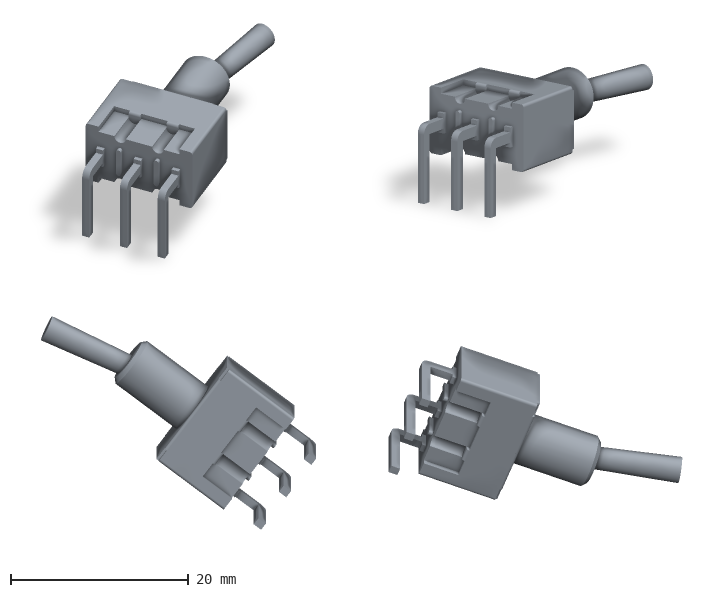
import cadquery as cq
import math

overall_length = 32.52

housing_width = 13.2
housing_depth = 9.5
housing_height = 7.95
edge_radius = 0.33
ear_width = 1.6
ear_notch_height = 0.55
ear_notch_depth = 0.3
middle_width = housing_width - 2 * ear_width

pocket_length = 4.2
pocket_depth = 0.7
groove_radius = 0.7

terminal_pitch = 4.68
terminal_width = 0.88
terminal_thickness = 1.2
terminal_reach = 4.2
terminal_bottom = -8.6
leg_thickness = 1.05
collar_height = 2.37
stand_off = 0.5

terminal_places = [-terminal_pitch, 0, terminal_pitch]
between_places = [-terminal_pitch / 2, terminal_pitch / 2]
rib_width = 0.6
rib_height = 3.6

bushing_diameter = 5.98
bushing_length = 9.0
bushing_chamfer = 0.5

lever_tilt = 12.0
lever_pivot_y = 15.5
lever_tip_radius = 1.5
lever_root_radius = 1.25
tilt = math.radians(lever_tilt)
lever_top_y = overall_length - terminal_reach
lever_length = (lever_top_y - lever_pivot_y - lever_tip_radius * math.sin(tilt)) / math.cos(tilt)


def block(width, y_start, y_end, z_bottom, z_top, x=0.0):
    """Box centred on x that spans the given ranges of y and z."""
    depth = y_end - y_start
    height = z_top - z_bottom
    return cq.Workplane("XY").box(width, depth, height).translate(
        (x, (y_start + y_end) / 2, (z_bottom + z_top) / 2)
    )


def make_housing_block():
    """Rounded block whose four back corners are notched beside the rounded middle section."""
    half_height = housing_height / 2
    notch_y = housing_depth - ear_notch_depth
    front = block(housing_width, 0, notch_y, -half_height, half_height).edges("|Y").fillet(edge_radius)
    ears = block(
        housing_width, 0, housing_depth, -half_height + ear_notch_height, half_height - ear_notch_height
    )
    middle = block(middle_width, 0, housing_depth, -half_height, half_height)
    middle = middle.edges(">Y and |X").fillet(edge_radius)
    return front.union(ears).union(middle)


def make_top_recess():
    """Pocket in the top face with two deeper round grooves that end at rounded lips."""
    half_height = housing_height / 2
    floor_z = half_height - pocket_depth
    lip_front_y = pocket_length - edge_radius
    recess = block(middle_width, 0, pocket_length, floor_z, half_height)
    for x in between_places:
        lip = block(2 * groove_radius, lip_front_y, housing_depth, floor_z, half_height, x)
        lip = lip.edges("<Y and >Z").fillet(edge_radius)
        groove = cq.Workplane("XZ").center(x, floor_z).circle(groove_radius).extrude(-lip_front_y)
        recess = recess.cut(lip).union(groove)
    return recess


def make_rib(x):
    """Upright rib with round ends on the front face."""
    return cq.Workplane("XZ").center(x, 0).slot2D(rib_height, rib_width, 90).extrude(stand_off)


def make_housing():
    top_recess = make_top_recess()
    housing = make_housing_block().cut(top_recess).cut(top_recess.mirror("XY"))
    for x in between_places:
        housing = housing.union(make_rib(x))
    return housing


def make_lever():
    """Round lever that widens toward its tip."""
    lever = (
        cq.Workplane("XY")
        .polyline([(0, 0), (lever_root_radius, 0), (lever_tip_radius, lever_length), (0, lever_length)])
        .close()
        .revolve(360, (0, 0), (0, 1))
    )
    return lever.rotate((0, 0, 0), (0, 0, 1), -lever_tilt).translate((0, lever_pivot_y, 0))


def make_bushing(lever):
    """Chamfered bushing with a socket that the lever fills."""
    bushing = (
        cq.Workplane("XZ", origin=(0, housing_depth, 0))
        .circle(bushing_diameter / 2)
        .extrude(-bushing_length)
        .faces(">Y")
        .chamfer(bushing_chamfer)
    )
    return bushing.cut(lever)


def make_terminal(x):
    """Flat terminal with a collar at its root, bent down through a rounded corner."""
    top = terminal_thickness / 2
    return (
        cq.Workplane("YZ", origin=(x - terminal_width / 2, 0, 0))
        .moveTo(0, collar_height / 2)
        .lineTo(-stand_off, collar_height / 2)
        .lineTo(-stand_off, top)
        .lineTo(-terminal_reach + leg_thickness, top)
        .radiusArc((-terminal_reach, top - leg_thickness), -leg_thickness)
        .lineTo(-terminal_reach, terminal_bottom)
        .lineTo(-terminal_reach + leg_thickness, terminal_bottom)
        .lineTo(-terminal_reach + leg_thickness, -top)
        .lineTo(-stand_off, -top)
        .lineTo(-stand_off, -collar_height / 2)
        .lineTo(0, -collar_height / 2)
        .close()
        .extrude(terminal_width)
    )


housing = make_housing()
lever = make_lever()
bushing = make_bushing(lever)
terminals = [make_terminal(x) for x in terminal_places]

result = cq.Compound.makeCompound(
    [housing.val(), bushing.val(), lever.val(), *[terminal.val() for terminal in terminals]]
)